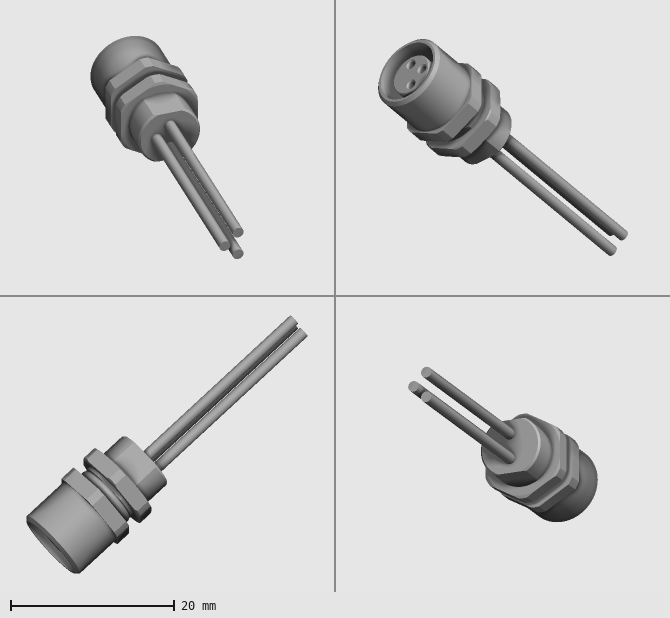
import cadquery as cq
import math

total_length = 41.0
shell_length = 6.48
hex_thickness = 2.0
groove_width = 1.27
nut_start = 10.2
body_end = 16.0

shell_radius = 4.8
shell_chamfer = 0.4
bore_radius = 4.05
bore_depth = 5.0

insert_radius = 2.8
insert_face_x = 0.8
insert_chamfer = 0.12
collar_radius = 3.32
collar_face_x = 3.3
collar_rounding = 0.5

contact_offset = 1.6
side_contact_offset = 1.72
contact_positions = [(0, contact_offset), (0, -contact_offset), (-side_contact_offset, 0)]
hole_radius = 0.7
hole_mouth_chamfer = 0.15
hole_depth = 3.3
hole_point_depth = 0.4
wire_radius = 0.7

across_flats = 10.0
corner_radius = 5.5

body_radius = 4.0
body_chamfer = 0.25
half_flats = 3.45
neck_radius = 3.08
ring_section_radius = groove_width / 2
ring_outer_radius = 4.05

nut_front_bevel = 0.15
nut_rear_bevel_depth = 0.12
nut_rear_bevel_drop = 0.35

groove_start = shell_length + hex_thickness
groove_end = groove_start + groove_width


def rod(radius, start, end, y=0, z=0):
    """Cylinder along X between two X positions."""
    return cq.Workplane("YZ", origin=(start, y, z)).circle(radius).extrude(end - start)


def revolve_about_x(profile):
    """Solid of revolution about X from (x, radius) points."""
    return cq.Workplane("XY").polyline(profile).close().revolve(360, (0, 0, 0), (1, 0, 0))


def hex_prism(start):
    """Hexagonal plate with two flats facing +Y and -Y."""
    corner_distance = across_flats / math.cos(math.pi / 6)
    plate = cq.Workplane("YZ", origin=(start, 0, 0)).polygon(6, corner_distance).extrude(hex_thickness)
    return plate.rotate((0, 0, 0), (1, 0, 0), 30)


def make_shell():
    """Front sleeve with a chamfered rim and an open bore."""
    sleeve = rod(shell_radius, 0, shell_length).faces("<X").chamfer(shell_chamfer)
    return sleeve.cut(rod(bore_radius, 0, bore_depth))


def make_flange():
    """Hexagonal flange with its corners turned to a cylinder."""
    return hex_prism(shell_length).intersect(rod(corner_radius, shell_length, groove_start))


def make_insert():
    """Contact carrier with a chamfered tip, and the rounded collar around its root."""
    tip = rod(insert_radius, insert_face_x, bore_depth).faces("<X").chamfer(insert_chamfer)
    collar = rod(collar_radius, collar_face_x, bore_depth).faces("<X").edges().fillet(collar_rounding)
    return tip.union(collar)


def make_contact_hole(y, z):
    """Blind hole with a chamfered mouth and a conical bottom."""
    bottom = insert_face_x + hole_depth
    profile = [
        (insert_face_x, 0),
        (insert_face_x, hole_radius),
        (insert_face_x + hole_mouth_chamfer, hole_radius - hole_mouth_chamfer),
        (bottom, hole_radius - hole_mouth_chamfer),
        (bottom + hole_point_depth, 0),
    ]
    return revolve_about_x(profile).translate((0, y, z))


def make_threaded_body():
    """Rear body with flats facing +Z and -Z."""
    body = rod(body_radius, groove_end, body_end).faces(">X").chamfer(body_chamfer)
    flats = cq.Workplane("XY").box(2 * body_end, 2 * body_radius, 2 * half_flats)
    return body.intersect(flats)


def make_sealing_ring():
    """Round-section ring filling the groove width."""
    ring_center_radius = ring_outer_radius - ring_section_radius
    section = cq.Workplane("XY").center(groove_start + ring_section_radius, ring_center_radius)
    return section.circle(ring_section_radius).revolve(
        360, (0, -ring_center_radius, 0), (1, -ring_center_radius, 0)
    )


def make_connector():
    """Socket, flange, sealing ring, threaded body and wires as one solid."""
    connector = make_shell().union(make_flange()).union(make_insert())
    connector = connector.union(rod(neck_radius, groove_start, groove_end))
    connector = connector.union(make_threaded_body()).union(make_sealing_ring())
    for y, z in contact_positions:
        connector = connector.cut(make_contact_hole(y, z))
        connector = connector.union(rod(wire_radius, body_end, total_length, y, z))
    return connector


def make_nut():
    """Hexagonal nut with beveled corners and a round bore."""
    nut_end = nut_start + hex_thickness
    envelope = revolve_about_x([
        (nut_start, 0),
        (nut_start, corner_radius - nut_front_bevel),
        (nut_start + nut_front_bevel, corner_radius),
        (nut_end - nut_rear_bevel_depth, corner_radius),
        (nut_end, corner_radius - nut_rear_bevel_drop),
        (nut_end, 0),
    ])
    return hex_prism(nut_start).intersect(envelope).cut(rod(body_radius, nut_start, nut_end))


connector = make_connector()
nut = make_nut()
result = cq.Compound.makeCompound([connector.val(), nut.val()])